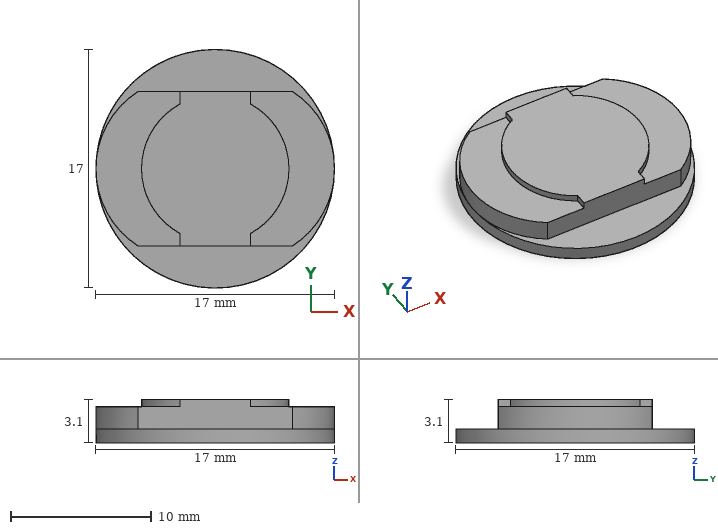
import cadquery as cq

base_diameter = 17.0
base_thickness = 1.0

plate_width = 11.0
flat_length = 11.0
plate_thickness = 1.6

pad_diameter = 10.5
bar_width = 5.0
pad_thickness = 0.5

plate_bottom = base_thickness
pad_bottom = plate_bottom + plate_thickness


def make_base():
    return cq.Workplane("XY").circle(base_diameter / 2).extrude(base_thickness)


def make_plate():
    half_flat = flat_length / 2
    half_width = plate_width / 2
    end_reach = base_diameter / 2
    return (
        cq.Workplane("XY")
        .workplane(offset=plate_bottom)
        .moveTo(-half_flat, -half_width)
        .lineTo(half_flat, -half_width)
        .threePointArc((end_reach, 0), (half_flat, half_width))
        .lineTo(-half_flat, half_width)
        .threePointArc((-end_reach, 0), (-half_flat, -half_width))
        .close()
        .extrude(plate_thickness)
    )


def make_pad():
    pad_plane = cq.Workplane("XY").workplane(offset=pad_bottom)
    disc = pad_plane.circle(pad_diameter / 2).extrude(pad_thickness)
    bar = pad_plane.rect(bar_width, plate_width).extrude(pad_thickness)
    return disc.union(bar)


result = make_base().union(make_plate()).union(make_pad())